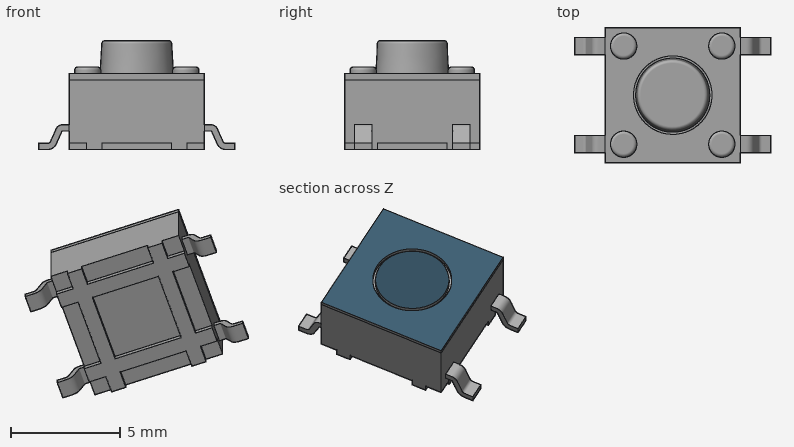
import cadquery as cq
import math

span = 9.0
body_side = 6.2
total_height = 5.0

housing_top = 3.2
sheet = 0.3
cover_top = housing_top + sheet

rail_width = 0.69
rail_gap = 3.2
rail_offset = (rail_gap + rail_width) / 2

corner_offset = 2.25
leg_width = 0.8
foot_length = 0.405
shoulder_length = 0.3
leg_top = 1.15
upper_bend_inner = 0.04
upper_bend_outer = upper_bend_inner + sheet
lower_bend_inner = 0.15
lower_bend_outer = lower_bend_inner + sheet

stud_radius = 0.6
edge_round = 0.15

button_hole_radius = 1.8
button_base_radius = 1.7
button_top_radius = 1.6


def around(centre, radius, angle):
    """Point on a circle in the XZ plane."""
    return (centre[0] + radius * math.cos(angle), centre[1] + radius * math.sin(angle))


def make_leg(y_centre):
    """Gull-wing leg on the +X side."""
    wall = body_side / 2
    tip = span / 2
    upper_centre = (wall + shoulder_length, leg_top - upper_bend_outer)
    lower_centre = (tip - foot_length, lower_bend_outer)

    run = lower_centre[0] - upper_centre[0]
    drop = upper_centre[1] - lower_centre[1]
    reach = upper_bend_outer + lower_bend_inner
    normal = math.acos(reach / math.hypot(run, drop)) - math.atan2(drop, run)

    up = math.pi / 2
    down = 1.5 * math.pi
    opposite = normal + math.pi
    upper_middle = (up + normal) / 2
    lower_middle = (opposite + down) / 2

    profile = (
        cq.Workplane("XZ", origin=(0, y_centre + leg_width / 2, 0))
        .moveTo(wall, leg_top)
        .lineTo(upper_centre[0], leg_top)
        .threePointArc(
            around(upper_centre, upper_bend_outer, upper_middle),
            around(upper_centre, upper_bend_outer, normal),
        )
        .lineTo(*around(lower_centre, lower_bend_inner, opposite))
        .threePointArc(
            around(lower_centre, lower_bend_inner, lower_middle),
            around(lower_centre, lower_bend_inner, down),
        )
        .lineTo(tip, sheet)
        .lineTo(tip, 0)
        .lineTo(lower_centre[0], 0)
        .threePointArc(
            around(lower_centre, lower_bend_outer, lower_middle),
            around(lower_centre, lower_bend_outer, opposite),
        )
        .lineTo(*around(upper_centre, upper_bend_inner, normal))
        .threePointArc(
            around(upper_centre, upper_bend_inner, upper_middle),
            around(upper_centre, upper_bend_inner, up),
        )
        .lineTo(wall, leg_top - sheet)
        .close()
    )
    return profile.extrude(leg_width)


def make_housing():
    """Square block on two crossing pairs of rails, with two legs on each X side."""
    housing = cq.Workplane("XY", origin=(0, 0, sheet)).rect(body_side, body_side).extrude(housing_top - sheet)
    for side in (-1, 1):
        offset = side * rail_offset
        along_x = cq.Workplane("XY").center(0, offset).rect(body_side, rail_width).extrude(sheet)
        along_y = cq.Workplane("XY").center(offset, 0).rect(rail_width, body_side).extrude(sheet)
        leg = make_leg(side * corner_offset)
        housing = housing.union(along_x).union(along_y).union(leg).union(leg.mirror("YZ"))
    return housing


def make_cover():
    """Square plate with a clearance hole for the button and a rounded stud near each corner."""
    cover = (
        cq.Workplane("XY", origin=(0, 0, housing_top))
        .rect(body_side, body_side)
        .circle(button_hole_radius)
        .extrude(sheet)
    )
    studs = (
        cq.Workplane("XY", origin=(0, 0, cover_top))
        .rect(2 * corner_offset, 2 * corner_offset, forConstruction=True)
        .vertices()
        .circle(stud_radius)
        .extrude(sheet)
        .faces(">Z")
        .edges()
        .fillet(edge_round)
    )
    return cover.union(studs)


def make_button():
    """Slightly tapered round button that stands on the housing inside the cover hole."""
    return (
        cq.Workplane("XZ")
        .moveTo(0, housing_top)
        .lineTo(button_base_radius, housing_top)
        .lineTo(button_top_radius, total_height)
        .lineTo(0, total_height)
        .close()
        .revolve(360, (0, 0, 0), (0, 1, 0))
        .faces(">Z")
        .edges()
        .fillet(edge_round)
    )


housing = make_housing()
cover = make_cover()
button = make_button()

result = cq.Compound.makeCompound([housing.val(), cover.val(), button.val()])